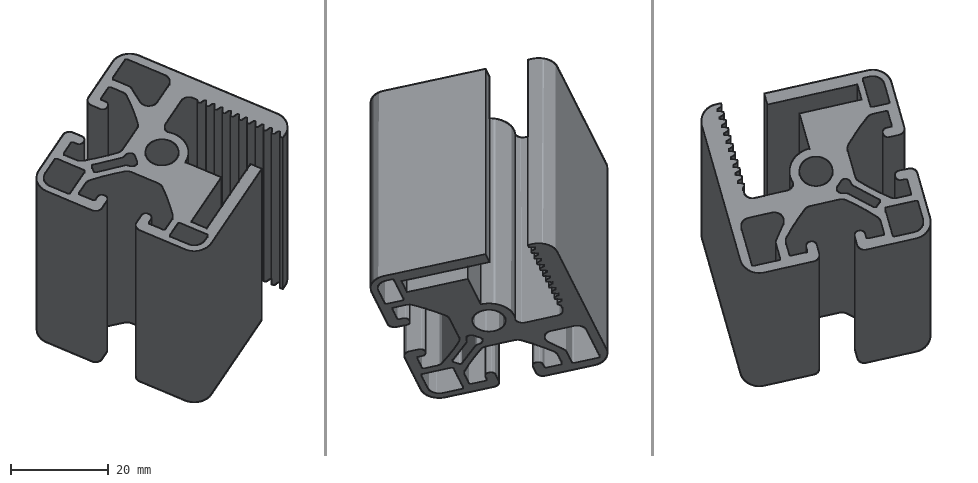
import cadquery as cq

SIDE = 40.0
HALF = SIDE / 2
LENGTH = 50.0
CORNER_RADIUS = 4.0
BORE_DIAMETER = 6.8
SMALL_RADIUS = 0.4

SLOT_MOUTH_HALF = 4.0
SLOT_INNER_HALF = 10.0
SLOT_FLOOR = 7.45
LIP_BASE_THICKNESS = 2.4
LIP_WIDTH = 2.2
LIP_HEIGHT = 4.6
LIP_OUTER_RADIUS = 1.5
LIP_TIP_RADIUS = 1.0
SLOT_BEND_RADIUS = 2.0
SLOT_FLOOR_HALF = 3.8
FLANK_DEPTH = 13.8
FLANK_BULGE = -0.2

CORNER_WALL = 1.5
HOLLOW_INNER = 11.55
LOW_HOLLOW_TOP = -14.45

UPPER_WALL = 2.0
UPPER_HOLLOW_RIGHT = -7.0
UPPER_HOLLOW_BOTTOM = 9.1
UPPER_HOLLOW_RADIUS = 2.0
UPPER_RAMP_START = -13.7
UPPER_RAMP_END = -9.65
UPPER_DIP_RADIUS = 2.0
UPPER_BEND_RADIUS = 1.5

KEY_ANGLE = 225
KEY_NEAR = 5.55
KEY_SHOULDER = 7.0
KEY_NECK = 7.95
KEY_FAR = 14.8
KEY_HEAD_HALF = 1.75
KEY_HALF = 1.05
KEY_HEAD_RADIUS = 1.0
KEY_NECK_RADIUS = 1.0

POCKET_LEFT = -2.85
POCKET_TOP = 15.45
POCKET_BOTTOM = 5.15
POCKET_RADIUS = 1.75
BOSS_RADIUS = 5.4
LEDGE_Y = 0.0
GAP_LEFT = 13.75
GAP_RIGHT = 17.35
GAP_BOTTOM = -13.1
WALL_TOP = 5.85

TOOTH_PITCH = 1.9
GROOVE_COUNT = 10
FIRST_GROOVE_X = 1.5
GROOVE_TOP = 16.1
TOOTH_TIP = 14.95
GROOVE_TOP_WIDTH = 0.4
GROOVE_MOUTH_WIDTH = 1.3
TOOTH_RADIUS = 0.2
FIRST_TOOTH_X = 0.4


def prism(points):
    """Full-length prism over a closed polygon."""
    return cq.Workplane("XY").polyline(points).close().extrude(LENGTH)


def block(left, right, bottom, top):
    """Full-length rectangular prism."""
    return prism([(left, bottom), (right, bottom), (right, top), (left, top)])


def round_edges(body, radius, points):
    """Fillet the upright edges of a prism that pass through the given XY points."""
    reach = 0.025
    for x, y in points:
        edge = cq.selectors.BoxSelector((x - reach, y - reach, 0), (x + reach, y + reach, LENGTH))
        body = body.edges("|Z").edges(edge).fillet(radius)
    return body


def t_slot():
    """Cutter for the T-slot in the -Y face: one half with a bulged flank, mirrored about YZ."""
    lip_inner = SLOT_MOUTH_HALF + LIP_WIDTH
    lip_tip = LIP_HEIGHT - HALF
    base = LIP_BASE_THICKNESS - HALF
    tip_outer = (SLOT_MOUTH_HALF, lip_tip)
    tip_inner = (lip_inner, lip_tip)
    base_inner = (lip_inner, base)
    base_outer = (SLOT_INNER_HALF, base)
    flank_low = (SLOT_INNER_HALF, -FLANK_DEPTH)
    flank_high = (SLOT_FLOOR_HALF, -SLOT_FLOOR)
    half = (
        cq.Workplane("XY")
        .moveTo(0, -HALF)
        .lineTo(SLOT_MOUTH_HALF, -HALF)
        .lineTo(*tip_outer)
        .lineTo(*tip_inner)
        .lineTo(*base_inner)
        .lineTo(*base_outer)
        .lineTo(*flank_low)
        .sagittaArc(flank_high, FLANK_BULGE)
        .lineTo(0, -SLOT_FLOOR)
        .close()
        .extrude(LENGTH)
    )
    half = round_edges(half, LIP_TIP_RADIUS, [tip_outer, tip_inner])
    half = round_edges(half, SMALL_RADIUS, [base_inner, base_outer])
    half = round_edges(half, SLOT_BEND_RADIUS, [flank_low, flank_high])
    return half.union(half.mirror("YZ"))


def low_hollow(left, right, top, round_x, square_x):
    """Hollow in a lower corner; its corner at round_x follows the outer corner."""
    bottom = CORNER_WALL - HALF
    cutter = block(left, right, bottom, top)
    cutter = round_edges(cutter, CORNER_RADIUS - CORNER_WALL, [(round_x, bottom)])
    return round_edges(cutter, SMALL_RADIUS, [(square_x, bottom), (left, top), (right, top)])


def upper_hollow():
    """Hollow in the upper left corner, its floor ramping down beside the slot flank."""
    left = UPPER_WALL - HALF
    top = HALF - UPPER_WALL
    shelf = SLOT_INNER_HALF + UPPER_WALL
    top_left = (left, top)
    top_right = (UPPER_HOLLOW_RIGHT, top)
    low_right = (UPPER_HOLLOW_RIGHT, UPPER_HOLLOW_BOTTOM)
    ramp_end = (UPPER_RAMP_END, UPPER_HOLLOW_BOTTOM)
    ramp_start = (UPPER_RAMP_START, shelf)
    shelf_left = (left, shelf)
    cutter = prism([top_left, top_right, low_right, ramp_end, ramp_start, shelf_left])
    cutter = round_edges(cutter, SMALL_RADIUS, [top_left, shelf_left])
    cutter = round_edges(cutter, UPPER_HOLLOW_RADIUS, [top_right, low_right])
    cutter = round_edges(cutter, UPPER_DIP_RADIUS, [ramp_end])
    return round_edges(cutter, UPPER_BEND_RADIUS, [ramp_start])


def keyhole():
    """Diagonal hollow with a widened, rounded head next to the bore."""
    head = [(KEY_NEAR, KEY_HEAD_HALF), (KEY_SHOULDER, KEY_HEAD_HALF)]
    neck = (KEY_NECK, KEY_HALF)
    end = (KEY_FAR, KEY_HALF)
    upper = head + [neck, end]
    lower = [(s, -w) for s, w in reversed(upper)]
    cutter = prism(upper + lower)
    for side in (1, -1):
        cutter = round_edges(cutter, KEY_HEAD_RADIUS, [(s, side * w) for s, w in head])
        cutter = round_edges(cutter, KEY_NECK_RADIUS, [(neck[0], side * neck[1])])
        cutter = round_edges(cutter, SMALL_RADIUS, [(end[0], side * end[1])])
    return cutter.rotate((0, 0, 0), (0, 0, 1), KEY_ANGLE)


def serration_points():
    """Corner points of the grooves from +X to -X."""
    points = []
    for index in reversed(range(GROOVE_COUNT)):
        centre = FIRST_GROOVE_X + index * TOOTH_PITCH
        points += [
            (centre + GROOVE_MOUTH_WIDTH / 2, TOOTH_TIP),
            (centre + GROOVE_TOP_WIDTH / 2, GROOVE_TOP),
            (centre - GROOVE_TOP_WIDTH / 2, GROOVE_TOP),
            (centre - GROOVE_MOUTH_WIDTH / 2, TOOTH_TIP),
        ]
    return points


def clamping_pocket():
    """Cutter for the serrated pocket open to +X and the gap behind the thin wall."""
    top_left = (POCKET_LEFT, POCKET_TOP)
    low_left = (POCKET_LEFT, POCKET_BOTTOM)
    teeth = serration_points()
    first_tooth = (FIRST_TOOTH_X, TOOTH_TIP)
    ramp_start = (FIRST_TOOTH_X - (POCKET_TOP - TOOTH_TIP), POCKET_TOP)
    outline = [
        low_left,
        (0, POCKET_BOTTOM),
        (0, LEDGE_Y),
        (GAP_LEFT, LEDGE_Y),
        (GAP_LEFT, GAP_BOTTOM),
        (GAP_RIGHT, GAP_BOTTOM),
        (GAP_RIGHT, WALL_TOP),
        (HALF, WALL_TOP),
        (HALF, TOOTH_TIP),
    ]
    cutter = prism(outline + teeth + [first_tooth, ramp_start, top_left])
    cutter = round_edges(cutter, POCKET_RADIUS, [top_left, low_left])
    cutter = round_edges(cutter, TOOTH_RADIUS, teeth + [first_tooth])
    boss = cq.Workplane("XY").circle(BOSS_RADIUS).extrude(LENGTH)
    return cutter.cut(boss)


def outer_block():
    """Square bar with rounded corners."""
    return block(-HALF, HALF, -HALF, HALF).edges("|Z").fillet(CORNER_RADIUS)


outer_hollow = HALF - CORNER_WALL
slot = t_slot()
side_slot = slot.rotate((0, 0, 0), (0, 0, 1), -90)

result = outer_block().cut(slot).cut(side_slot)
mouth_edges = [(x, -HALF) for x in (-SLOT_MOUTH_HALF, SLOT_MOUTH_HALF)]
mouth_edges += [(y, x) for x, y in mouth_edges]
result = round_edges(result, LIP_OUTER_RADIUS, mouth_edges)

cutters = [
    low_hollow(-outer_hollow, -HOLLOW_INNER, -HOLLOW_INNER, -outer_hollow, -HOLLOW_INNER),
    low_hollow(HOLLOW_INNER, outer_hollow, LOW_HOLLOW_TOP, outer_hollow, HOLLOW_INNER),
    upper_hollow(),
    keyhole(),
    clamping_pocket(),
    cq.Workplane("XY").circle(BORE_DIAMETER / 2).extrude(LENGTH),
]
for tool in cutters:
    result = result.cut(tool)